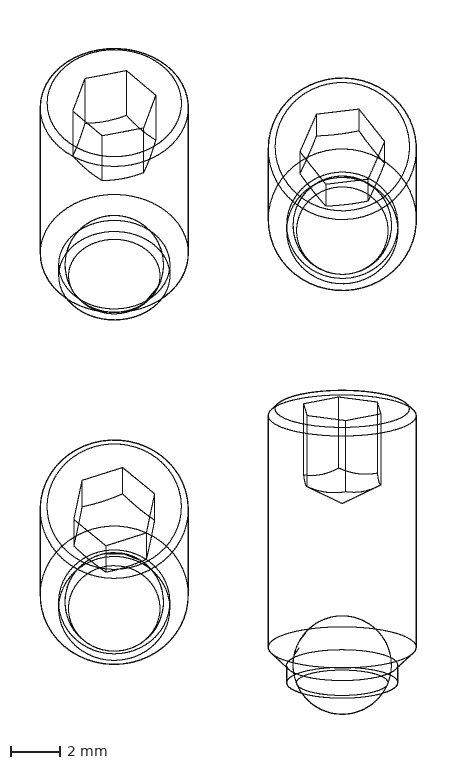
import cadquery as cq
import math

total_height = 12.8
body_diameter = 6.0
top_chamfer = 0.28

neck_diameter = 4.5
neck_bottom_z = 1.25
neck_top_z = 2.0
cone_height = (body_diameter - neck_diameter) / 2

ball_diameter = 4.0
ball_radius = ball_diameter / 2

hex_across_flats = 3.0
hex_depth = 3.0
floor_cone_angle = 120.0


def make_ball():
    """Full sphere whose lowest point lies on Z = 0."""
    return cq.Workplane("XY").sphere(ball_radius).translate((0, 0, ball_radius))


def make_hex_socket():
    """Hexagonal prism with corners on X, its lower end trimmed to a cone through the corners."""
    across_corners = hex_across_flats / math.cos(math.radians(30))
    corner_radius = across_corners / 2
    point_depth = corner_radius / math.tan(math.radians(floor_cone_angle / 2))
    corner_z = total_height - hex_depth
    tip_z = corner_z - point_depth
    prism = (
        cq.Workplane("XY", origin=(0, 0, tip_z))
        .polygon(6, across_corners)
        .extrude(total_height - tip_z)
    )
    pointed_envelope = (
        cq.Workplane("XZ")
        .moveTo(0, tip_z)
        .lineTo(corner_radius, corner_z)
        .lineTo(corner_radius, total_height)
        .lineTo(0, total_height)
        .close()
        .revolve(360, (0, 0, 0), (0, 1, 0))
    )
    return prism.intersect(pointed_envelope)


def make_housing(ball):
    """Turned screw body with a hexagon socket above and a ball seat below."""
    body_radius = body_diameter / 2
    neck_radius = neck_diameter / 2
    blank = (
        cq.Workplane("XZ")
        .moveTo(0, neck_bottom_z)
        .lineTo(neck_radius, neck_bottom_z)
        .lineTo(neck_radius, neck_top_z)
        .lineTo(body_radius, neck_top_z + cone_height)
        .lineTo(body_radius, total_height - top_chamfer)
        .lineTo(body_radius - top_chamfer, total_height)
        .lineTo(0, total_height)
        .close()
        .revolve(360, (0, 0, 0), (0, 1, 0))
    )
    return blank.cut(make_hex_socket()).cut(ball)


ball = make_ball()
housing = make_housing(ball)

result = cq.Compound.makeCompound([housing.val(), ball.val()])